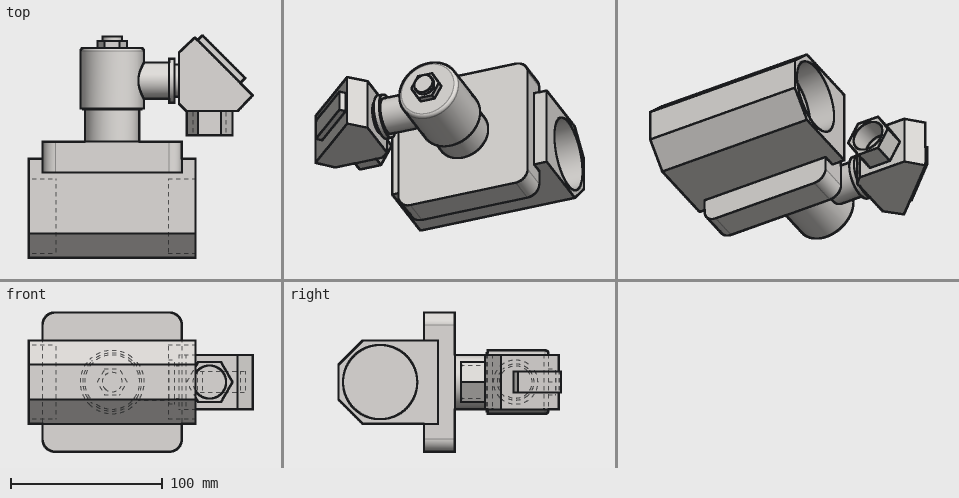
import cadquery as cq
import math


block_length = 110.0
block_width = 55.0
block_back = 38.0
block_chamfer = 16.0
bore_radius = 24.5
bore_depth = 18.0
block_front = -block_width / 2

plate_side = 92.0
plate_corner_radius = 8.5
plate_front = 28.8
plate_thickness = 20.4
plate_back = plate_front + plate_thickness
tube_radius = 18.0

coil_front = 70.8
coil_back = 111.0
coil_radius = 21.0
coil_edge_radius = 2.3
collar_radius = 19.3
collar_thickness = 0.6
nut_across_flats = 17.0
nut_thickness = 4.5
stud_radius = 6.5
stud_length = 3.0

stem_y = 89.3
stem_radius = 12.0
stem_flange_start = 37.6
stem_flange_end = 41.2
stem_flange_radius = 14.6
neck_radius = 10.7

connector_width = 36.0
connector_left = 44.0
connector_bottom = 69.2
connector_tip_x = 92.66
connector_tip_y = 79.64
slant_length = 54.0
connector_left_top = 107.9
connector_bottom_right = 82.7
corner_chamfer = 4.8
cover_inset = 2.5
cover_length = 40.0
cover_thickness = 4.5
cover_width = 14.0
gland_x = 64.2
gland_across_flats = 26.2
gland_length = 15.9
gland_hole_radius = 10.9
gland_hole_depth = gland_length

diagonal = math.sqrt(0.5)


def rod_along_x(start, end, y, radius):
    """Round bar along X, centred on Z = 0."""
    return cq.Workplane("YZ", origin=(start, y, 0)).circle(radius).extrude(end - start)


def y_plane(x, y):
    """Plane facing +Y, with its origin on Z = 0."""
    return cq.Workplane("XZ", origin=(x, y, 0)).transformed(rotate=(180, 0, 0))


def rod_along_y(start, end, radius, x=0):
    """Round bar along Y, centred on Z = 0."""
    return y_plane(x, start).circle(radius).extrude(end - start)


def hexagon_along_y(start, end, across_flats, x=0):
    """Hexagonal bar along Y with two of its corners on the X axis line."""
    across_corners = across_flats / math.cos(math.pi / 6)
    return y_plane(x, start).polygon(6, across_corners).extrude(end - start)


def extrude_about_z0(points, width):
    """Outline in X and Y, given its width evenly about Z = 0."""
    return cq.Workplane("XY").polyline(points).close().extrude(width / 2, both=True)


def make_housing():
    """Valve block with a blind port at each end, flange plate and coil tube."""
    block = (
        cq.Workplane("XY")
        .box(block_length, block_back - block_front, block_width)
        .translate((0, (block_back + block_front) / 2, 0))
        .faces("<Y").edges("|X").chamfer(block_chamfer)
    )
    plate = (
        y_plane(0, plate_front)
        .rect(plate_side, plate_side)
        .extrude(plate_thickness)
        .edges("|Y").fillet(plate_corner_radius)
    )
    tube = rod_along_y(plate_back, coil_front - collar_thickness, tube_radius)
    housing = block.union(plate).union(tube)
    for side in (-1, 1):
        port_mouth = side * block_length / 2
        port_end = port_mouth - side * bore_depth
        housing = housing.cut(rod_along_x(port_mouth, port_end, 0, bore_radius))
    return housing


def make_coil():
    """Coil with its bottom collar, nut, stud end and side stem."""
    barrel = rod_along_y(coil_front, coil_back, coil_radius)
    barrel = barrel.faces(">Y").edges().fillet(coil_edge_radius)
    collar = rod_along_y(coil_front - collar_thickness, coil_front, collar_radius)
    nut_back = coil_back + nut_thickness
    nut = hexagon_along_y(coil_back, nut_back, nut_across_flats)
    stud = rod_along_y(nut_back, nut_back + stud_length, stud_radius)
    stem = rod_along_x(0, stem_flange_start, stem_y, stem_radius)
    stem_flange = rod_along_x(stem_flange_start, stem_flange_end, stem_y, stem_flange_radius)
    neck = rod_along_x(stem_flange_end, connector_left, stem_y, neck_radius)
    coil = barrel
    for piece in (collar, nut, stud, stem, stem_flange, neck):
        coil = coil.union(piece)
    return coil


def make_connector():
    """Angled plug with a cover on its slanted face and a hexagonal cable gland."""
    top_x = connector_tip_x - slant_length * diagonal
    top_y = connector_tip_y + slant_length * diagonal
    shell = extrude_about_z0(
        [
            (connector_tip_x, connector_tip_y),
            (top_x, top_y),
            (connector_left, connector_left_top),
            (connector_left, connector_bottom + corner_chamfer),
            (connector_left + corner_chamfer, connector_bottom),
            (connector_bottom_right, connector_bottom),
        ],
        connector_width,
    )

    def on_slant(along, out):
        """Point at a distance down the slanted face and a height above it."""
        return (top_x + (along + out) * diagonal, top_y + (out - along) * diagonal)

    cover_end = cover_inset + cover_length
    cover = extrude_about_z0(
        [
            on_slant(cover_inset, 0),
            on_slant(cover_inset, cover_thickness),
            on_slant(cover_end, cover_thickness),
            on_slant(cover_end, 0),
        ],
        cover_width,
    )
    gland_end = connector_bottom - gland_length
    gland = hexagon_along_y(gland_end, connector_bottom, gland_across_flats, gland_x)
    gland_hole = rod_along_y(gland_end, gland_end + gland_hole_depth, gland_hole_radius, gland_x)
    return shell.union(cover).union(gland).cut(gland_hole)


housing = make_housing()
coil = make_coil()
connector = make_connector()

result = cq.Compound.makeCompound([housing.val(), coil.val(), connector.val()])